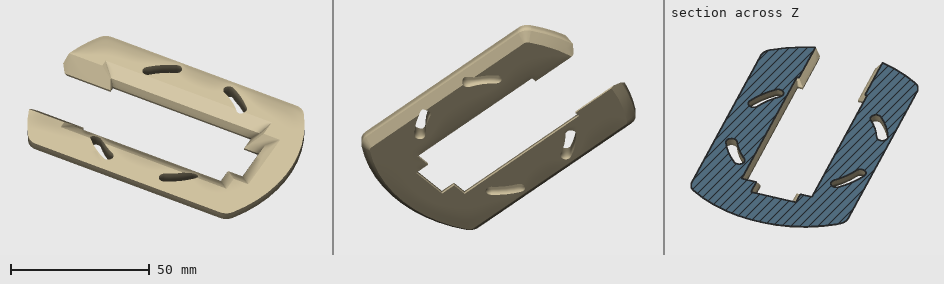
import cadquery as cq
import math

length = 98.2
width = 60.0
thickness = 6.0
corner_radius = 5.0
bottom_chamfer = 3.0

side_y = 12.5
entry_y = 10.5
notch_y = 6.9
entry_step_x = -28.8
shoulder_x = 27.3
notch_end_x = 33.2
entry_open_x = -58.9

land_height = 0.8
kink_height = 3.4
kinked_flare_low = 1.3
kinked_flare_top = 6.0

tip_y = entry_y + bottom_chamfer - land_height
disc_radius = (length**2 + tip_y**2) / (2 * length)
disc_center_x = length / 2 - disc_radius

slot_center = (-0.3, 1.1)
slot_path_radius = 27.2
slot_width = 3.9
slot_sweep = 22
slot_mid_angles = (53.6, 122.3, 233.0, 304.9)


def make_plate():
    disc = cq.Workplane("XY").center(disc_center_x, 0).circle(disc_radius).extrude(thickness)
    slab = cq.Workplane("XY").box(3 * disc_radius, width, thickness, centered=(True, True, False))
    plate = disc.intersect(slab).edges("|Z").fillet(corner_radius)
    return plate.faces("<Z").edges().chamfer(bottom_chamfer)


def opening_outline(straight, kinked):
    """Opening corners, with plain walls moved out by straight and kinked walls by kinked."""
    return [
        (entry_open_x, entry_y + straight),
        (entry_step_x - kinked, entry_y + straight),
        (entry_step_x - kinked, side_y + kinked),
        (shoulder_x + straight, side_y + kinked),
        (shoulder_x + straight, notch_y + straight),
        (notch_end_x + kinked, notch_y + straight),
        (notch_end_x + kinked, -notch_y - kinked),
        (shoulder_x + kinked, -notch_y - kinked),
        (shoulder_x + kinked, -side_y - kinked),
        (entry_step_x - straight, -side_y - kinked),
        (entry_step_x - straight, -entry_y - straight),
        (entry_open_x, -entry_y - straight),
    ]


def make_opening():
    levels = [
        (0, 0, 0),
        (land_height, 0, 0),
        (kink_height, kink_height - land_height, kinked_flare_low),
        (thickness, thickness - land_height, kinked_flare_top),
    ]
    opening = cq.Workplane("XY")
    for lower, upper in zip(levels, levels[1:]):
        layer = (
            cq.Workplane("XY", origin=(0, 0, lower[0]))
            .polyline(opening_outline(*lower[1:]))
            .close()
            .workplane(offset=upper[0] - lower[0])
            .polyline(opening_outline(*upper[1:]))
            .close()
            .loft(ruled=True)
        )
        opening = opening.add(layer)
    return opening.combine()


def make_slot(mid_angle):
    def polar(radius, angle):
        return (radius * math.cos(math.radians(angle)), radius * math.sin(math.radians(angle)))

    start = mid_angle - slot_sweep / 2
    end = mid_angle + slot_sweep / 2
    cap_angle = math.degrees(slot_width / 2 / slot_path_radius)
    inner = slot_path_radius - slot_width / 2
    outer = slot_path_radius + slot_width / 2
    return (
        cq.Workplane("XY", origin=(*slot_center, 0))
        .moveTo(*polar(inner, start))
        .threePointArc(polar(inner, mid_angle), polar(inner, end))
        .threePointArc(polar(slot_path_radius, end + cap_angle), polar(outer, end))
        .threePointArc(polar(outer, mid_angle), polar(outer, start))
        .threePointArc(polar(slot_path_radius, start - cap_angle), polar(inner, start))
        .close()
        .extrude(thickness)
    )


result = make_plate().cut(make_opening())
for slot_mid_angle in slot_mid_angles:
    result = result.cut(make_slot(slot_mid_angle))